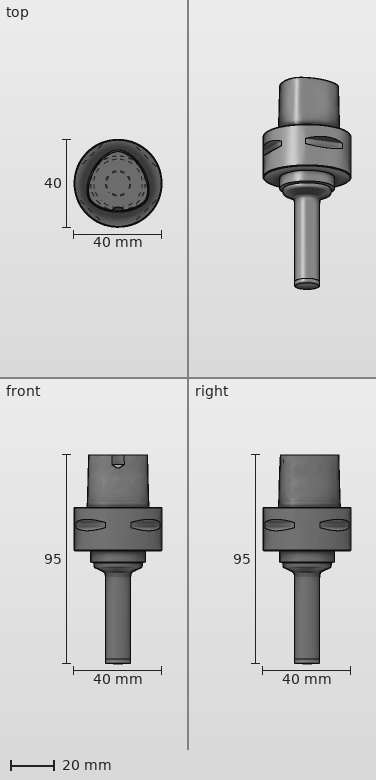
import cadquery as cq
import math

total_height = 95.0
shank_radius = 11.5 / 2
tip_radius = shank_radius
collar_radius = 25.0 / 2
neck_radius = 22.0 / 2
flange_radius = 40.0 / 2

tip_top = 2.2
shank_top = 39.3
neck_bottom = 45.0
neck_top = 45.9
collar_bottom = 46.4
seat_level = 50.9
flange_bottom = 51.4
flange_top = 71.2
taper_bottom = 73.4

flange_chamfer = 0.4
seat_relief = 0.1

shoulder_inner_radius = 6.7
shoulder_inner_level = 41.9
shoulder_outer_radius = 10.4
shoulder_outer_level = 43.6

tip_rim_height = 0.9
tip_face_radius = 5.3
tip_centre_radius = 2.2 / 2
tip_dish_height = 0.14

coupling_top_radius = 13.4
coupling_taper_radius = 14.0
coupling_base_radius = 14.2
lobe_height = 1.0
outline_points = 48

notch_radius = 3.5
notch_inner_y = -10.8
notch_floor = 90.7

groove_count = 4
groove_level = 63.1
groove_depth = 2.4
groove_floor_width = 2.3
groove_mouth_width = 5.2
groove_floor_fillet = 0.3


def make_tip():
    """Cutting tip with a rounded rim and a very shallow cone as its end face."""
    rim_middle = (
        tip_radius - (tip_radius - tip_face_radius) * (1 - math.sqrt(0.5)),
        tip_rim_height - (tip_rim_height - tip_dish_height) * math.sqrt(0.5),
    )
    return (
        cq.Workplane("XZ")
        .moveTo(0, 0)
        .lineTo(tip_centre_radius, 0)
        .lineTo(tip_face_radius, tip_dish_height)
        .threePointArc(rim_middle, (tip_radius, tip_rim_height))
        .lineTo(tip_radius, tip_top)
        .lineTo(0, tip_top)
        .close()
        .revolve(360, (0, 0, 0), (0, 1, 0))
    )


def make_body_of_revolution():
    """Shank, S-shaped shoulder, collar and flange."""
    shoulder_points = [
        (shoulder_inner_radius, shoulder_inner_level),
        (shoulder_outer_radius, shoulder_outer_level),
        (neck_radius, neck_bottom),
    ]
    straight_up = (0, 1)
    shoulder_slope = (
        shoulder_outer_radius - shoulder_inner_radius,
        shoulder_outer_level - shoulder_inner_level,
    )
    return (
        cq.Workplane("XZ")
        .moveTo(0, tip_top)
        .lineTo(shank_radius, tip_top)
        .lineTo(shank_radius, shank_top)
        .spline(
            shoulder_points,
            tangents=[straight_up, shoulder_slope, shoulder_slope, straight_up],
            includeCurrent=True,
        )
        .lineTo(neck_radius, neck_top)
        .lineTo(collar_radius, collar_bottom)
        .lineTo(collar_radius, seat_level)
        .lineTo(collar_radius - seat_relief, flange_bottom)
        .lineTo(flange_radius - flange_chamfer, flange_bottom)
        .lineTo(flange_radius, flange_bottom + flange_chamfer)
        .lineTo(flange_radius, flange_top - flange_chamfer)
        .lineTo(flange_radius - flange_chamfer, flange_top)
        .lineTo(0, flange_top)
        .close()
        .revolve(360, (0, 0, 0), (0, 1, 0))
    )


def coupling_point(mean_radius, angle):
    """Point of the rounded triangle whose tangent distance is R + e * cos(3 * angle), lobe on +Y."""
    distance = mean_radius + lobe_height * math.cos(3 * angle)
    slope = -3 * lobe_height * math.sin(3 * angle)
    x = -distance * math.sin(angle) - slope * math.cos(angle)
    y = distance * math.cos(angle) - slope * math.sin(angle)
    return (x, y)


def coupling_outline(mean_radius, level):
    """Closed rounded-triangle wire at one level."""
    angles = [2 * math.pi * i / outline_points for i in range(outline_points)]
    points = [cq.Vector(*coupling_point(mean_radius, angle), level) for angle in angles]
    return cq.Wire.assembleEdges([cq.Edge.makeSpline(points, periodic=True)])


def make_coupling():
    """Tapered polygon shank on a short, wider root."""
    base = coupling_outline(coupling_base_radius, flange_top)
    middle = coupling_outline(coupling_taper_radius, taper_bottom)
    top = coupling_outline(coupling_top_radius, total_height)
    root = cq.Solid.makeLoft([base, middle], True)
    taper = cq.Solid.makeLoft([middle, top], True)
    return cq.Workplane(root).union(cq.Workplane(taper))


def make_notch():
    """Cutter shape of the orientation notch: a cylinder with a 45 degree conical end."""
    return (
        cq.Workplane("XZ")
        .moveTo(0, notch_floor - notch_radius)
        .lineTo(notch_radius, notch_floor)
        .lineTo(notch_radius, total_height)
        .lineTo(0, total_height)
        .close()
        .revolve(360, (0, 0, 0), (0, 1, 0))
        .translate((0, notch_inner_y - notch_radius, 0))
    )


def make_groove(angle):
    """Straight groove with sloping sides, cut across the flange rim at the given angle."""
    floor_x = flange_radius - groove_depth
    half_floor = groove_floor_width / 2
    half_mouth = groove_mouth_width / 2
    return (
        cq.Workplane("XZ")
        .moveTo(floor_x, groove_level - half_floor)
        .lineTo(flange_radius, groove_level - half_mouth)
        .lineTo(flange_radius, groove_level + half_mouth)
        .lineTo(floor_x, groove_level + half_floor)
        .close()
        .extrude(flange_radius, both=True)
        .edges("|Y and <X")
        .fillet(groove_floor_fillet)
        .rotate((0, 0, 0), (0, 0, 1), angle)
    )


def make_holder():
    """Holder with coupling, notch and gripper grooves."""
    body = make_body_of_revolution().union(make_coupling()).cut(make_notch())
    spacing = 360 / groove_count
    for i in range(groove_count):
        body = body.cut(make_groove(spacing * (i + 0.5)))
    return body


holder = make_holder()
tip = make_tip()

result = cq.Compound.makeCompound([holder.val(), tip.val()])